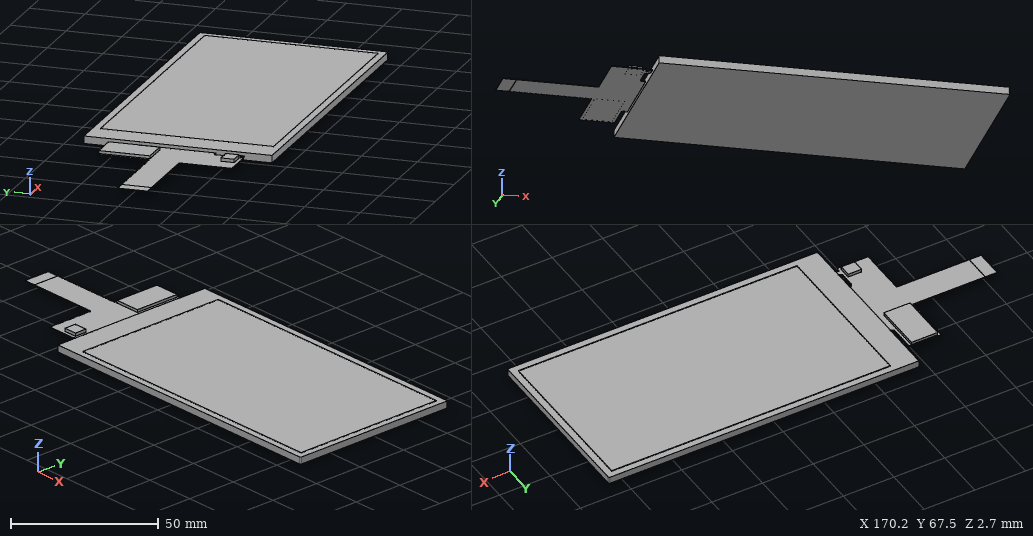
import cadquery as cq

overall_length = 170.2
panel_width = 67.5
panel_thickness = 2.7
panel_left = 47.8
panel_corner_radius = 0.5

window_left = 57.5
window_border = 2.7
window_depth = 0.3

flex_bottom = 1.2
flex_thickness = 0.3
flex_top = flex_bottom + flex_thickness
tail_width = 10.9
contact_length = 4.8
contact_thickness = 0.2
head_left = 33.4
head_right = 46.0
head_width = 48.7
neck_width = 27.2
neck_corner_radius = 0.9
head_corner_chamfer = 0.7

link_head_top = -20.3
link_head_bottom = -22.5
link_drop = 1.4

component_right = 45.0
large_chip_left = 34.5
large_chip_margin = 0.5
large_chip_height = 1.0
small_chip_length = 5.3
small_chip_width = 4.8
small_chip_bottom = -23.0
small_chip_height = panel_thickness - flex_top


def block(x_min, x_max, y_min, y_max, z_min, height):
    """Rectangular block given by its X and Y limits, base level and height."""
    return cq.Workplane("XY").box(
        x_max - x_min, y_max - y_min, height, centered=False
    ).translate((x_min, y_min, z_min))


def make_window():
    half_width = panel_width / 2 - window_border
    return block(
        window_left, overall_length - window_border, -half_width, half_width,
        panel_thickness - window_depth, window_depth,
    )


def make_panel(window):
    slab = block(
        panel_left, overall_length, -panel_width / 2, panel_width / 2, 0, panel_thickness
    )
    slab = slab.edges("|Z and >X").fillet(panel_corner_radius)
    return slab.cut(window)


def make_contact_strip():
    """Thin strip let into the underside of the tail's end."""
    return block(0, contact_length, -tail_width / 2, tail_width / 2, flex_bottom, contact_thickness)


def make_flex(contact_strip):
    tail = block(
        0, head_left, -tail_width / 2, tail_width / 2, flex_bottom, flex_thickness
    )
    head = block(
        head_left, head_right, -head_width / 2, head_width / 2, flex_bottom, flex_thickness
    ).edges("|Z and >X").chamfer(head_corner_chamfer)
    neck = block(
        head_right, panel_left, -neck_width / 2, neck_width / 2, flex_bottom, flex_thickness
    )
    link = (
        cq.Workplane("XY", origin=(0, 0, flex_bottom))
        .moveTo(head_right, link_head_top)
        .lineTo(panel_left, link_head_top - link_drop)
        .lineTo(panel_left, link_head_bottom - link_drop)
        .lineTo(head_right, link_head_bottom)
        .close()
        .extrude(flex_thickness)
    )
    flex = head.union(tail).union(neck)
    for side in (-1, 1):
        corner = cq.NearestToPointSelector(
            (head_right, side * neck_width / 2, flex_bottom + flex_thickness / 2)
        )
        flex = flex.edges("|Z").edges(corner).fillet(neck_corner_radius)
    return flex.union(link).cut(contact_strip)


def make_large_chip():
    return block(
        large_chip_left, component_right, tail_width / 2, head_width / 2 - large_chip_margin,
        flex_top, large_chip_height,
    )


def make_small_chip():
    return block(
        component_right - small_chip_length, component_right,
        small_chip_bottom, small_chip_bottom + small_chip_width,
        flex_top, small_chip_height,
    )


window = make_window()
panel = make_panel(window)
contact_strip = make_contact_strip()
flex = make_flex(contact_strip)
large_chip = make_large_chip()
small_chip = make_small_chip()

result = cq.Compound.makeCompound([
    panel.val(),
    window.val(),
    flex.val(),
    contact_strip.val(),
    large_chip.val(),
    small_chip.val(),
])